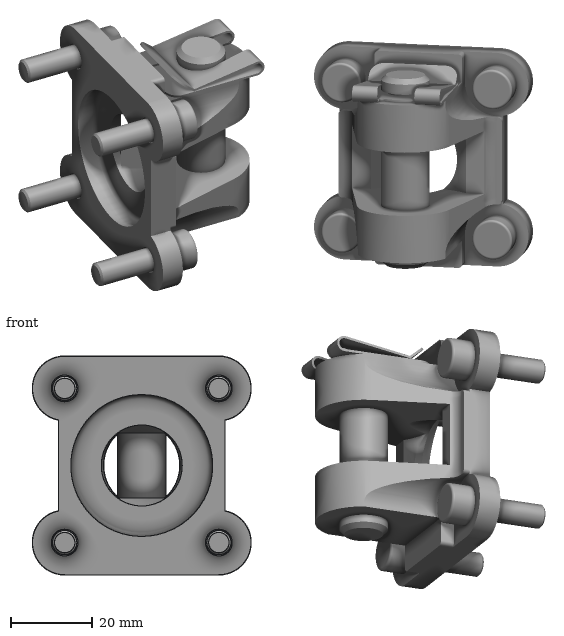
import cadquery as cq
import math

PLATE_SIZE = 54.0
PLATE_THICKNESS = 5.5
WAIST_WIDTH = 41.15
LOBE_RADIUS = 8.0
PAD_Y = 7.0
BLOCK_Y = 9.0
EDGE_ROUND = 1.0
RECESS_DIAMETER = 35.0
RECESS_DEPTH = 5.0
RECESS_FILLET = 1.0
BORE_RADIUS = 10.0
BORE_TAPER = math.radians(15)

PIN_Y = 25.0
ARM_END_RADIUS = 12.0
ARM_TAPER = math.radians(15)
ARM_FOOT_FILLET = 2.5
ARM_OUTER_Z = 20.0
ARM_INNER_Z = 8.0
SWING_RADIUS = 20.0

PIN_RADIUS = 6.0
PIN_BOTTOM_Z = -23.0
PIN_TOP_Z = 25.0
PIN_CHAMFER = 1.2
GROOVE_DIAMETER = 9.0
GROOVE_WIDTH = 1.3

SCREW_SHANK_DIAMETER = 6.0
SCREW_HOLE_DIAMETER = 6.6
SCREW_HEAD_DIAMETER = 10.0
SCREW_HEAD_HEIGHT = 6.0
SCREW_TIP_Y = -14.5
SCREW_TIP_CHAMFER = 0.5
SCREW_HEAD_FILLET = 0.6

CLIP_THICKNESS = 0.6
CLIP_FRONT_Y = 10.9
CLIP_LOOP_RADIUS = 2.0
CLIP_LOOP_Y = 34.9
CLIP_LEAF_ANGLE = math.radians(8.8)
CLIP_BEND_Y = 17.2
CLIP_LIP_ANGLE = math.radians(40)
CLIP_LIP_LENGTH = 5.85
CLIP_CORNER_RADIUS = 3.5
CLIP_TONGUE_RADIUS = 9.0
CLIP_NOTCH_HALF_WIDTH = 4.65
CLIP_NOTCH_FILLET = 0.75
CLIP_FORK_FILLET = 0.7
CLIP_OPENING_HALF_WIDTH = 5.85

HALF_PLATE = PLATE_SIZE / 2
SCREW_OFFSET = HALF_PLATE - LOBE_RADIUS
POCKET_EDGE = SCREW_OFFSET - LOBE_RADIUS
ARM_TIP_Y = PIN_Y + ARM_END_RADIUS
GROOVE_RADIUS = GROOVE_DIAMETER / 2
CLIP_WIDTH = 2 * POCKET_EDGE
CORNERS = [(sx * SCREW_OFFSET, sz * SCREW_OFFSET) for sx in (-1, 1) for sz in (-1, 1)]


def facing_back(y):
    """XZ workplane at y; a negative extrusion runs toward +Y."""
    return cq.Workplane("XZ", origin=(0, y, 0))


def slab(width, height, y_start, y_end):
    """Rectangular slab centred on the Y axis."""
    return facing_back(y_start).rect(width, height).extrude(y_start - y_end)


def cylinder_along_y(radius, y_start, y_end, points=((0, 0),)):
    """One cylinder per (x, z) point."""
    return facing_back(y_start).pushPoints(points).circle(radius).extrude(y_start - y_end)


def cylinder_along_z(radius, z_start, z_end):
    """Cylinder on the pin axis."""
    return (
        cq.Workplane("XY", origin=(0, PIN_Y, z_start))
        .circle(radius)
        .extrude(z_end - z_start)
    )


def make_base_plate():
    """Waisted plate with a round lobe at each corner and a raised cross behind it."""
    plate = (
        slab(WAIST_WIDTH, 2 * SCREW_OFFSET, 0, PLATE_THICKNESS)
        .union(slab(2 * SCREW_OFFSET, PLATE_SIZE, 0, PLATE_THICKNESS))
        .union(cylinder_along_y(LOBE_RADIUS, 0, PLATE_THICKNESS, CORNERS))
    )
    side_pad = slab(WAIST_WIDTH, 2 * POCKET_EDGE, PLATE_THICKNESS, PAD_Y)
    side_pad = side_pad.edges("|Y").fillet(EDGE_ROUND)
    end_tabs = slab(2 * POCKET_EDGE, PLATE_SIZE, PLATE_THICKNESS, BLOCK_Y)
    end_tabs = end_tabs.edges("|Y").fillet(EDGE_ROUND)
    return plate.union(side_pad).union(end_tabs)


def make_arms():
    """Tapered round-ended clevis that joins the pad through foot fillets."""
    sin_t, cos_t = math.sin(ARM_TAPER), math.cos(ARM_TAPER)
    tip_x, tip_y = ARM_END_RADIUS * cos_t, PIN_Y + ARM_END_RADIUS * sin_t
    foot_y = PAD_Y + ARM_FOOT_FILLET
    foot_x = (ARM_END_RADIUS + ARM_FOOT_FILLET + (PIN_Y - foot_y) * sin_t) / cos_t
    wall_x, wall_y = foot_x - ARM_FOOT_FILLET * cos_t, foot_y - ARM_FOOT_FILLET * sin_t
    half_turn = (math.pi / 2 - ARM_TAPER) / 2
    mid_x = foot_x - ARM_FOOT_FILLET * math.sin(half_turn)
    mid_y = foot_y - ARM_FOOT_FILLET * math.cos(half_turn)
    arms = (
        cq.Workplane("XY", origin=(0, 0, -ARM_OUTER_Z))
        .moveTo(-foot_x, PLATE_THICKNESS)
        .lineTo(foot_x, PLATE_THICKNESS)
        .lineTo(foot_x, PAD_Y)
        .threePointArc((mid_x, mid_y), (wall_x, wall_y))
        .lineTo(tip_x, tip_y)
        .threePointArc((0, ARM_TIP_Y), (-tip_x, tip_y))
        .lineTo(-wall_x, wall_y)
        .threePointArc((-mid_x, mid_y), (-foot_x, PAD_Y))
        .close()
        .extrude(2 * ARM_OUTER_Z)
    )
    gap = slab(PLATE_SIZE, 2 * ARM_INNER_Z, BLOCK_Y, ARM_TIP_Y)
    return arms.cut(gap)


def make_swing_clearance():
    """Round hollow about the pin axis, as wide as the gap between the arms."""
    return cylinder_along_z(SWING_RADIUS, -ARM_INNER_Z, ARM_INNER_Z)


def make_tapered_bore():
    """Cone that narrows from the recess floor toward the pin and grooves the arms."""
    end_y = PIN_Y - PIN_RADIUS
    end_radius = BORE_RADIUS - (end_y - RECESS_DEPTH) * math.tan(BORE_TAPER)
    return (
        cq.Workplane("XY")
        .moveTo(0, RECESS_DEPTH)
        .lineTo(BORE_RADIUS, RECESS_DEPTH)
        .lineTo(end_radius, end_y)
        .lineTo(0, end_y)
        .close()
        .revolve(360, (0, 0, 0), (0, 1, 0))
    )


def make_screw_pockets():
    """Round-cornered clearance around each screw head, open toward the plate's outside."""
    side = 2 * LOBE_RADIUS
    pockets = cylinder_along_y(LOBE_RADIUS, PLATE_THICKNESS, ARM_TIP_Y, CORNERS)
    for x, z in CORNERS:
        outward_x = math.copysign(LOBE_RADIUS, x)
        outward_z = math.copysign(LOBE_RADIUS, z)
        block = slab(side, side, PLATE_THICKNESS, ARM_TIP_Y)
        pockets = pockets.union(block.translate((x + outward_x, 0, z)))
        pockets = pockets.union(block.translate((x, 0, z + outward_z)))
    return pockets


def make_bracket():
    """Plate and clevis in one piece, with its recess, bore and holes."""
    arms = make_arms().cut(make_screw_pockets())
    recess = cylinder_along_y(RECESS_DIAMETER / 2, 0, RECESS_DEPTH)
    recess = recess.faces(">Y").edges().fillet(RECESS_FILLET)
    screw_holes = cylinder_along_y(SCREW_HOLE_DIAMETER / 2, 0, PLATE_THICKNESS, CORNERS)
    pin_hole = cylinder_along_z(PIN_RADIUS, -ARM_OUTER_Z, ARM_OUTER_Z)
    bracket = make_base_plate().union(arms)
    cutters = (make_swing_clearance(), make_tapered_bore(), recess, screw_holes, pin_hole)
    for cutter in cutters:
        bracket = bracket.cut(cutter)
    return bracket


def make_pin():
    """Chamfered pin with a clip groove just above the upper arm."""
    pin = cylinder_along_z(PIN_RADIUS, PIN_BOTTOM_Z, PIN_TOP_Z)
    pin = pin.faces("<Z or >Z").edges().chamfer(PIN_CHAMFER)
    groove_top = ARM_OUTER_Z + GROOVE_WIDTH
    groove = cylinder_along_z(PIN_RADIUS, ARM_OUTER_Z, groove_top).cut(
        cylinder_along_z(GROOVE_RADIUS, ARM_OUTER_Z, groove_top)
    )
    return pin.cut(groove)


def make_screw(x, z):
    """Cap screw whose head rests on the back of the plate."""
    shank = cylinder_along_y(SCREW_SHANK_DIAMETER / 2, SCREW_TIP_Y, PLATE_THICKNESS, [(x, z)])
    shank = shank.faces("<Y").edges().chamfer(SCREW_TIP_CHAMFER)
    head_end_y = PLATE_THICKNESS + SCREW_HEAD_HEIGHT
    head = cylinder_along_y(SCREW_HEAD_DIAMETER / 2, PLATE_THICKNESS, head_end_y, [(x, z)])
    head = head.faces(">Y").edges().fillet(SCREW_HEAD_FILLET)
    return shank.union(head)


def make_clip_strip():
    """Full-width strip: flat base, loop at the back, sloping leaf and upturned lip."""
    half = CLIP_THICKNESS / 2
    loop_z = ARM_OUTER_Z + CLIP_LOOP_RADIUS
    middle_radius = CLIP_LOOP_RADIUS - half
    sin_a, cos_a = math.sin(CLIP_LEAF_ANGLE), math.cos(CLIP_LEAF_ANGLE)
    sin_b, cos_b = math.sin(CLIP_LIP_ANGLE), math.cos(CLIP_LIP_ANGLE)
    leaf_start_y = CLIP_LOOP_Y - middle_radius * sin_a
    leaf_start_z = loop_z + middle_radius * cos_a
    bend_z = leaf_start_z - (leaf_start_y - CLIP_BEND_Y) * math.tan(CLIP_LEAF_ANGLE)
    lip_y = CLIP_BEND_Y - CLIP_LIP_LENGTH * cos_b
    lip_z = bend_z + CLIP_LIP_LENGTH * sin_b
    lean = (CLIP_LIP_ANGLE - CLIP_LEAF_ANGLE) / 2
    mitre = 1 / math.cos((CLIP_LIP_ANGLE + CLIP_LEAF_ANGLE) / 2)

    def strip_face(out):
        """Points of the strip face lying `out` outside the middle of the thickness."""
        radius = middle_radius + out
        return {
            "front": (CLIP_FRONT_Y, loop_z - radius),
            "loop_start": (CLIP_LOOP_Y, loop_z - radius),
            "loop_back": (CLIP_LOOP_Y + radius, loop_z),
            "leaf_start": (CLIP_LOOP_Y - radius * sin_a, loop_z + radius * cos_a),
            "bend": (CLIP_BEND_Y + out * mitre * math.sin(lean), bend_z + out * mitre * math.cos(lean)),
            "lip": (lip_y + out * sin_b, lip_z + out * cos_b),
        }

    outer, inner = strip_face(half), strip_face(-half)
    return (
        cq.Workplane("YZ", origin=(-CLIP_WIDTH / 2, 0, 0))
        .moveTo(*outer["front"])
        .lineTo(*outer["loop_start"])
        .threePointArc(outer["loop_back"], outer["leaf_start"])
        .lineTo(*outer["bend"])
        .lineTo(*outer["lip"])
        .lineTo(*inner["lip"])
        .lineTo(*inner["bend"])
        .lineTo(*inner["leaf_start"])
        .threePointArc(inner["loop_back"], inner["loop_start"])
        .lineTo(*inner["front"])
        .close()
        .extrude(CLIP_WIDTH)
    )


def is_fork_mouth(edge):
    """True for the upright edges where the base fork meets the front of the clip."""
    center = edge.Center()
    return abs(center.x) < PIN_RADIUS and center.y < CLIP_FRONT_Y + CLIP_THICKNESS


def make_clip():
    """Spring clip that locks the pin by its groove."""
    base_top = ARM_OUTER_Z + CLIP_THICKNESS
    clip = make_clip_strip()

    lip_normal = cq.Vector(0, math.sin(CLIP_LIP_ANGLE), math.cos(CLIP_LIP_ANGLE))
    clip = clip.edges("|Z").fillet(CLIP_CORNER_RADIUS)
    clip = clip.edges(cq.selectors.ParallelDirSelector(lip_normal)).fillet(CLIP_CORNER_RADIUS)

    fork_length = PIN_Y - CLIP_FRONT_Y
    fork = (
        cq.Workplane("XY", origin=(0, PIN_Y - fork_length / 2, ARM_OUTER_Z))
        .rect(2 * GROOVE_RADIUS, fork_length)
        .extrude(CLIP_THICKNESS)
        .union(cylinder_along_z(GROOVE_RADIUS, ARM_OUTER_Z, base_top))
    )
    clip = clip.cut(fork)
    clip = clip.edges("|Z").filter(is_fork_mouth).fillet(CLIP_FORK_FILLET)

    notch_length = ARM_TIP_Y - PIN_Y
    notch = (
        cq.Workplane("XY", origin=(0, PIN_Y + notch_length / 2, ARM_OUTER_Z))
        .rect(2 * CLIP_NOTCH_HALF_WIDTH, notch_length)
        .extrude(PIN_TOP_Z - ARM_OUTER_Z)
        .cut(cylinder_along_z(CLIP_TONGUE_RADIUS, ARM_OUTER_Z, PIN_TOP_Z))
        .edges("|Z and <Y")
        .fillet(CLIP_NOTCH_FILLET)
    )
    clip = clip.cut(notch)

    opening = (
        cq.Workplane("XY", origin=(0, 0, base_top))
        .moveTo(-CLIP_NOTCH_HALF_WIDTH, ARM_TIP_Y)
        .lineTo(CLIP_NOTCH_HALF_WIDTH, ARM_TIP_Y)
        .lineTo(CLIP_OPENING_HALF_WIDTH, PIN_Y)
        .lineTo(-CLIP_OPENING_HALF_WIDTH, PIN_Y)
        .close()
        .extrude(PIN_TOP_Z - base_top)
        .union(cylinder_along_z(PIN_RADIUS, base_top, PIN_TOP_Z))
    )
    return clip.cut(opening)


bracket = make_bracket()
pin = make_pin()
clip = make_clip()
screws = [make_screw(x, z) for x, z in CORNERS]

result = cq.Compound.makeCompound(
    [
        bracket.solids().val(),
        pin.solids().val(),
        clip.solids().val(),
        *[screw.solids().val() for screw in screws],
    ]
)